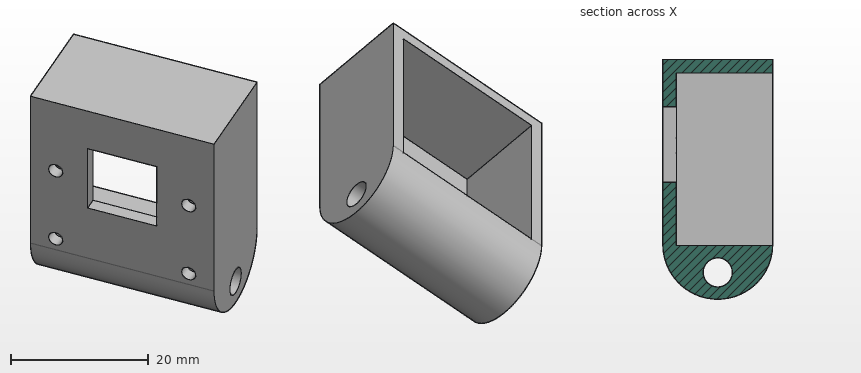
import cadquery as cq

width = 29.0
depth = 16.0
height = 34.84
straight_height = 27.0

wall = 2.0
cavity_floor = straight_height

window_size = 10.9
window_top = 6.9

screw_diameter = 2.2
screw_spacing_x = 21.0
screw_depths = (12.5, 25.0)

pivot_diameter = 4.2
pivot_depth = 30.92

front_y = -depth / 2


def make_body():
    """Block with a rounded bottom, extruded along X."""
    return (
        cq.Workplane("YZ")
        .moveTo(-depth / 2, 0)
        .lineTo(-depth / 2, -straight_height)
        .threePointArc((0, -height), (depth / 2, -straight_height))
        .lineTo(depth / 2, 0)
        .close()
        .extrude(width / 2, both=True)
    )


def make_cavity():
    """Rectangular cavity from behind the front wall out through the back."""
    return cq.Workplane("XY").box(
        width - 2 * wall,
        depth - wall,
        cavity_floor - wall,
        centered=(True, False, False),
    ).translate((0, front_y + wall, -cavity_floor))


def make_window():
    """Square opening through the front wall."""
    return cq.Workplane("XY").box(
        window_size, wall, window_size, centered=(True, False, False)
    ).translate((0, front_y, -window_top - window_size))


def make_screw_holes():
    """Four round holes through the front wall."""
    centres = [
        (side * screw_spacing_x / 2, -drop)
        for side in (-1, 1)
        for drop in screw_depths
    ]
    return (
        cq.Workplane("XZ", origin=(0, front_y, 0))
        .pushPoints(centres)
        .circle(screw_diameter / 2)
        .extrude(-wall)
    )


def make_pivot_hole():
    """Round hole through the full width, near the rounded bottom."""
    return (
        cq.Workplane("YZ")
        .center(0, -pivot_depth)
        .circle(pivot_diameter / 2)
        .extrude(width / 2, both=True)
    )


result = (
    make_body()
    .cut(make_cavity())
    .cut(make_window())
    .cut(make_screw_holes())
    .cut(make_pivot_hole())
)